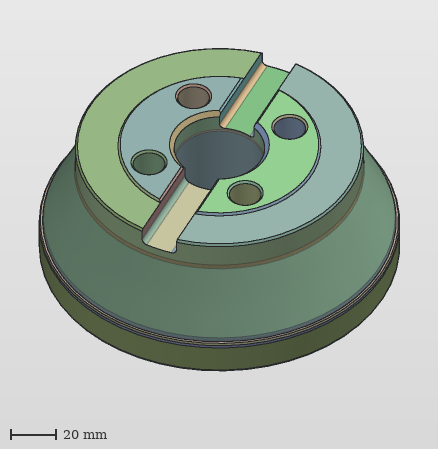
import cadquery as cq
import math

rim_diameter = 159.9
total_height = 63.0

base_height = 14.4
rim_chamfer_width = 0.5
rim_chamfer_height = 1.0

flange_top = 16.8
shoulder_diameter = 156.9
neck_diameter = 128.0
neck_bottom = 49.0
cone_half_angle = 25.0
cone_blend_radius = 4.5
edge_chamfer = 1.0

pad_diameter = 90.0
pad_height = 1.0

slot_width = 16.8
slot_depth = 9.0
slot_corner_radius = 2.4

bore_diameter = 40.0
pilot_diameter = 40.1
pilot_end = 53.3
pilot_taper_length = 1.0
bore_mouth_chamfer = 2.0

bolt_hole_diameter = 14.0
bolt_spacing = 47.0

rim_radius = rim_diameter / 2
shoulder_radius = shoulder_diameter / 2
neck_radius = neck_diameter / 2
pad_radius = pad_diameter / 2
bore_radius = bore_diameter / 2
pilot_radius = pilot_diameter / 2
neck_top = total_height - pad_height
slot_floor = total_height - slot_depth
cone_bottom = neck_bottom - (shoulder_radius - neck_radius) / math.tan(math.radians(cone_half_angle))


def revolve_profile(points):
    """Revolve a closed (radius, height) outline about the Z axis."""
    return cq.Workplane("XZ").polyline(points).close().revolve(360, (0, 0, 0), (0, 1, 0))


def circle_edges_at(height, radius):
    """Box selector for the one circular edge of this radius at this height."""
    margin = 0.08
    reach = radius + margin
    return cq.selectors.BoxSelector(
        (-reach, -reach, height - margin), (reach, reach, height + margin), boundingbox=True
    )


def bolt_hole_cutter():
    """Four plain cylinders that pass through the full height."""
    return (
        cq.Workplane("XY")
        .rect(bolt_spacing, bolt_spacing, forConstruction=True)
        .vertices()
        .circle(bolt_hole_diameter / 2)
        .extrude(total_height)
    )


def bolt_hole_chamfer_cutter():
    """Four cones that break the bolt hole edges on the pad face."""
    mouth_radius = bolt_hole_diameter / 2 + edge_chamfer
    cone = cq.Solid.makeCone(mouth_radius - edge_chamfer, mouth_radius, edge_chamfer)
    return (
        cq.Workplane("XY", origin=(0, 0, total_height - edge_chamfer))
        .rect(bolt_spacing, bolt_spacing, forConstruction=True)
        .vertices()
        .eachpoint(lambda place: cone.moved(place), combine=False)
    )


def bore_cutter():
    """Bore with a slightly wider pilot at the top and a chamfered mouth."""
    mouth_radius = pilot_radius + bore_mouth_chamfer
    return revolve_profile([
        (0, 0),
        (bore_radius, 0),
        (bore_radius, pilot_end - pilot_taper_length),
        (pilot_radius, pilot_end),
        (pilot_radius, total_height - bore_mouth_chamfer),
        (mouth_radius, total_height),
        (0, total_height),
    ])


def slot_cutter():
    """Slot with rounded floor corners, flared where it crosses the raised pad."""
    slot = (
        cq.Workplane("XY", origin=(0, 0, slot_floor))
        .rect(slot_width, rim_diameter)
        .extrude(slot_depth)
        .edges("|Y and <Z")
        .fillet(slot_corner_radius)
    )
    half_width = slot_width / 2
    flare = (
        cq.Workplane("XZ")
        .polyline([
            (-half_width, total_height - edge_chamfer),
            (half_width, total_height - edge_chamfer),
            (half_width + edge_chamfer, total_height),
            (-half_width - edge_chamfer, total_height),
        ])
        .close()
        .extrude(rim_radius, both=True)
    )
    return slot.union(flare)


def make_base():
    """Flat disc under the hub."""
    disc = revolve_profile([
        (0, 0),
        (rim_radius - rim_chamfer_width, 0),
        (rim_radius, rim_chamfer_height),
        (rim_radius, base_height),
        (0, base_height),
    ])
    return disc.cut(bore_cutter()).cut(bolt_hole_cutter())


def make_hub():
    """Conical hub with a flange, a neck and a slotted top face."""
    blank = revolve_profile([
        (0, base_height),
        (rim_radius, base_height),
        (rim_radius, flange_top - rim_chamfer_height),
        (rim_radius - rim_chamfer_width, flange_top),
        (shoulder_radius, flange_top),
        (shoulder_radius, cone_bottom),
        (neck_radius, neck_bottom),
        (neck_radius, neck_top - edge_chamfer),
        (neck_radius - edge_chamfer, neck_top),
        (pad_radius, neck_top),
        (pad_radius - edge_chamfer, total_height),
        (0, total_height),
    ])
    blank = blank.edges(circle_edges_at(cone_bottom, shoulder_radius)).fillet(cone_blend_radius)
    blank = blank.edges(circle_edges_at(neck_bottom, neck_radius)).fillet(cone_blend_radius)
    return (
        blank.cut(bore_cutter())
        .cut(bolt_hole_cutter())
        .cut(bolt_hole_chamfer_cutter())
        .cut(slot_cutter())
    )


base = make_base()
hub = make_hub()

result = cq.Compound.makeCompound([base.solids().val(), hub.solids().val()])